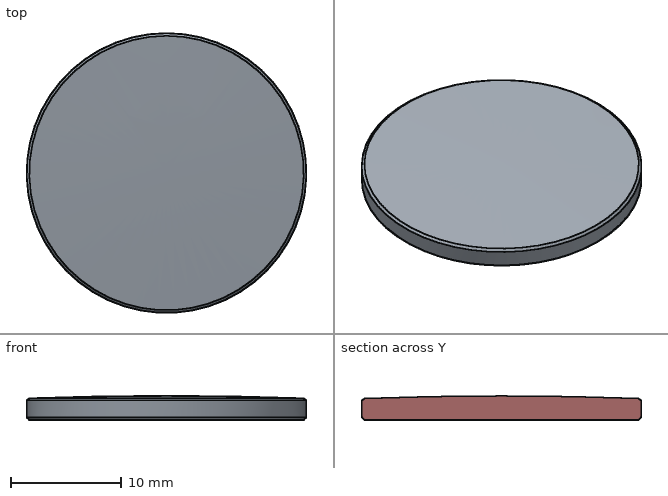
import cadquery as cq
import math

diameter = 25.4
center_thickness = 2.2
dome_height = 0.23
bevel = 0.25
top_bevel_height = 0.2

radius = diameter / 2
dome_rim_radius = radius - bevel
dome_rim_height = center_thickness - dome_height
sphere_radius = (dome_rim_radius**2 + dome_height**2) / (2 * dome_height)

mid_radius = dome_rim_radius / 2
mid_drop = sphere_radius - math.sqrt(sphere_radius**2 - mid_radius**2)
mid_height = center_thickness - mid_drop

half_section = (
    cq.Workplane("YZ")
    .lineTo(radius - bevel, 0)
    .lineTo(radius, bevel)
    .lineTo(radius, dome_rim_height - top_bevel_height)
    .lineTo(dome_rim_radius, dome_rim_height)
    .threePointArc((mid_radius, mid_height), (0, center_thickness))
    .close()
)

result = half_section.revolve(360, (0, 0, 0), (0, 1, 0))